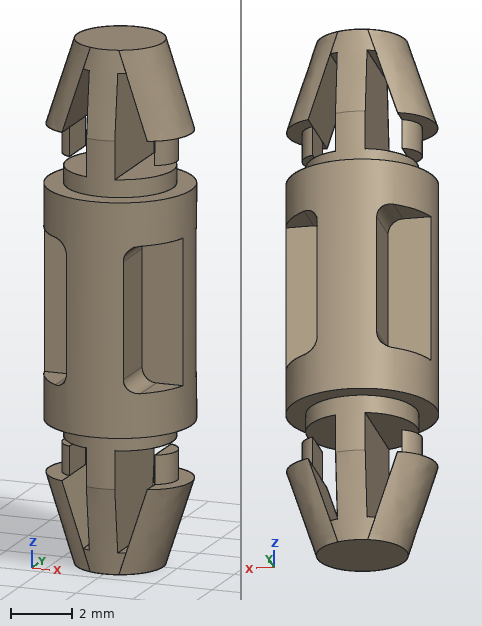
import cadquery as cq
import math

total_length = 17.8
body_diameter = 5.0
body_length = 8.0
collar_diameter = 3.7
collar_height = 0.6

tip_diameter = 3.0
barb_height = 2.99
web_height = 0.77
rib_thickness = 1.0
leg_length = 1.0
leg_thickness = 0.5
leg_width = 1.48

pocket_length = 5.0
pocket_corner_radius = 0.5
core_thickness_x = 2.0
core_thickness_y = 1.2

body_radius = body_diameter / 2
collar_radius = collar_diameter / 2
tip_radius = tip_diameter / 2
tip_z = total_length / 2
body_top_z = body_length / 2
collar_top_z = body_top_z + collar_height
barb_bottom_z = tip_z - barb_height
web_bottom_z = tip_z - web_height
barb_spread = body_radius - tip_radius
rib_half = rib_thickness / 2
leg_inner_x = rib_half + barb_spread


def make_body():
    """Central cylinder with four pockets, rounded at their inner corners."""
    body = cq.Workplane("XY").circle(body_radius).extrude(body_top_z, both=True)
    pocket_cutter_size = body_radius
    for side_x in (-1, 1):
        for side_y in (-1, 1):
            pocket = (
                cq.Workplane("XY")
                .box(pocket_cutter_size, pocket_cutter_size, pocket_length)
                .edges("|Y")
                .edges("<X" if side_x > 0 else ">X")
                .fillet(pocket_corner_radius)
                .translate((
                    side_x * (core_thickness_x + pocket_cutter_size) / 2,
                    side_y * (core_thickness_y + pocket_cutter_size) / 2,
                    0,
                ))
            )
            body = body.cut(pocket)
    return body


def barb_section(z, shift):
    """Circular segment of the tip circle outside the rib, moved outward by shift."""
    chord_half = math.sqrt(tip_radius**2 - rib_half**2)
    inner_x = rib_half + shift
    return (
        cq.Workplane("XY", origin=(0, 0, z))
        .moveTo(inner_x, -chord_half)
        .threePointArc((tip_radius + shift, 0), (inner_x, chord_half))
        .close()
        .wires()
        .val()
    )


def make_barb():
    """Barb on the +X side, leaning outward from the tip, with its short leg."""
    sections = [barb_section(barb_bottom_z, barb_spread), barb_section(tip_z, 0)]
    barb = cq.Workplane(cq.Solid.makeLoft(sections, True))
    leg = (
        cq.Workplane("XY", origin=(0, 0, barb_bottom_z))
        .moveTo(leg_inner_x, -leg_width / 2)
        .threePointArc((leg_inner_x + leg_thickness, 0), (leg_inner_x, leg_width / 2))
        .close()
        .extrude(-leg_length)
    )
    return barb.union(leg)


def make_head_core():
    """Tapered rib and the web at the tip that carries the barbs."""
    envelope = (
        cq.Workplane("XZ")
        .moveTo(0, collar_top_z)
        .lineTo(collar_radius, collar_top_z)
        .lineTo(collar_radius, barb_bottom_z)
        .lineTo(tip_radius, tip_z)
        .lineTo(0, tip_z)
        .close()
        .revolve(360, (0, 0, 0), (0, 1, 0))
    )
    web_half = rib_half + barb_spread * web_height / barb_height
    core_profile = (
        cq.Workplane("XZ")
        .moveTo(-rib_half, collar_top_z)
        .lineTo(rib_half, collar_top_z)
        .lineTo(rib_half, web_bottom_z)
        .lineTo(web_half, web_bottom_z)
        .lineTo(rib_half, tip_z)
        .lineTo(-rib_half, tip_z)
        .lineTo(-web_half, web_bottom_z)
        .lineTo(-rib_half, web_bottom_z)
        .close()
        .extrude(collar_radius, both=True)
    )
    return envelope.intersect(core_profile)


def make_head():
    """Collar, slotted rib and two opposed barbs on the upper end."""
    collar = (
        cq.Workplane("XY", origin=(0, 0, body_top_z))
        .circle(collar_radius)
        .extrude(collar_height)
    )
    barb = make_barb()
    return collar.union(make_head_core()).union(barb).union(barb.mirror("YZ"))


head = make_head()
result = make_body().union(head).union(head.mirror("XY"))